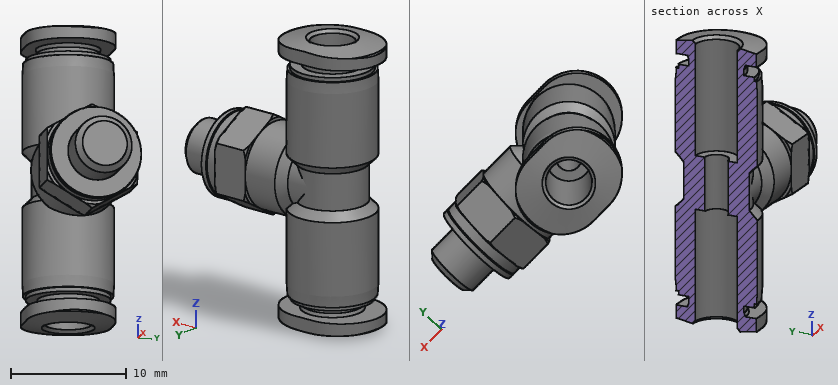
import cadquery as cq
import math

overall_height = 26.2
overall_length = 19.9
half_height = overall_height / 2

body_radius = 8.0 / 2
waist_radius = 3.2
waist_half_length = 1.7
shoulder_z = waist_half_length + body_radius - waist_radius
sleeve_end_radius = 3.93
sleeve_joint_z = 9.27
sleeve_end_z = 10.3
ring_radius = 7.4 / 2
ring_end_z = 10.66

neck_radius = 5.4 / 2
neck_flare_radius = 2.83
neck_flare_z = 11.25
button_thickness = 1.52
button_bottom_z = half_height - button_thickness
button_half_length = 4.93
button_half_width = 3.9
crown_radius = 2.3
crown_drop = 0.42
rim_bevel_width = 0.15
rim_bevel_height = 0.13

tube_bore_radius = 4.0 / 2
bore_mouth_radius = crown_radius
bore_mouth_depth = bore_mouth_radius - tube_bore_radius
through_bore_radius = 2.2 / 2

branch_cone_start_x = 2.38
branch_cone_end_x = branch_cone_start_x + body_radius - waist_radius
hex_start_x = 6.52
hex_end_x = 9.95
flange_end_x = 11.48
gasket_groove_x = 10.9
gasket_groove_width = 0.08
gasket_groove_depth = 0.08
spigot_radius = 5.0 / 2
spigot_chamfer = 0.52
spigot_end_x = overall_length - button_half_length

hex_across_flats = 2 * body_radius
hex_corner_radius = hex_across_flats / 2 / math.cos(math.pi / 6)
hex_chamfer_radius = hex_corner_radius - 0.31
hex_chamfer_length = 0.18


def revolve_z(profile):
    """Revolve a closed (radius, z) profile about the Z axis."""
    return cq.Workplane("XZ").polyline(profile).close().revolve(360, (0, 0), (0, 1))


def revolve_x(profile):
    """Revolve a closed (x, radius) profile about the X axis."""
    return cq.Workplane("XZ").polyline(profile).close().revolve(360, (0, 0), (1, 0))


def make_half_run():
    """Upper half of the run, from the centre of the waist to the button neck."""
    return revolve_z([
        (0, 0),
        (waist_radius, 0),
        (waist_radius, waist_half_length),
        (body_radius, shoulder_z),
        (body_radius, sleeve_joint_z),
        (sleeve_end_radius, sleeve_end_z),
        (ring_radius, sleeve_end_z),
        (ring_radius, ring_end_z),
        (neck_radius, ring_end_z),
        (neck_radius, neck_flare_z),
        (neck_flare_radius, button_bottom_z),
        (0, button_bottom_z),
    ])


def make_button():
    """Oval release button with a shallow conical crown."""
    oval = (
        cq.Workplane("XY", origin=(0, 0, button_bottom_z))
        .slot2D(2 * button_half_length, 2 * button_half_width)
        .extrude(button_thickness)
    )
    crown = revolve_z([
        (0, button_bottom_z),
        (button_half_length, button_bottom_z),
        (button_half_length, half_height - crown_drop - rim_bevel_height),
        (button_half_length - rim_bevel_width, half_height - crown_drop),
        (crown_radius, half_height),
        (0, half_height),
    ])
    return oval.intersect(crown)


def make_tube_bore():
    """Tube socket with a chamfered mouth."""
    return revolve_z([
        (0, shoulder_z),
        (tube_bore_radius, shoulder_z),
        (tube_bore_radius, half_height - bore_mouth_depth),
        (bore_mouth_radius, half_height),
        (0, half_height),
    ])


def make_branch():
    """Turned part of the branch with its gasket groove and spigot."""
    groove_radius = body_radius - gasket_groove_depth
    groove_end_x = gasket_groove_x + gasket_groove_width
    return revolve_x([
        (0, 0),
        (0, waist_radius),
        (branch_cone_start_x, waist_radius),
        (branch_cone_end_x, body_radius),
        (gasket_groove_x, body_radius),
        (gasket_groove_x, groove_radius),
        (groove_end_x, groove_radius),
        (groove_end_x, body_radius),
        (flange_end_x, body_radius),
        (flange_end_x, spigot_radius),
        (spigot_end_x - spigot_chamfer, spigot_radius),
        (spigot_end_x, spigot_radius - spigot_chamfer),
        (spigot_end_x, 0),
    ])


def make_hexagon():
    """Wrench hexagon with corners on +Z and -Z and both ends chamfered."""
    prism = (
        cq.Workplane("YZ", origin=(hex_start_x, 0, 0))
        .transformed(rotate=(0, 0, 90))
        .polygon(6, 2 * hex_corner_radius)
        .extrude(hex_end_x - hex_start_x)
    )
    chamfer_envelope = revolve_x([
        (hex_start_x, 0),
        (hex_start_x, hex_chamfer_radius),
        (hex_start_x + hex_chamfer_length, hex_corner_radius),
        (hex_end_x - hex_chamfer_length, hex_corner_radius),
        (hex_end_x, hex_chamfer_radius),
        (hex_end_x, 0),
    ])
    return prism.intersect(chamfer_envelope)


upper_run = make_half_run().union(make_button())
run = upper_run.union(upper_run.mirror("XY"))
tee = run.union(make_branch()).union(make_hexagon())

tube_bore = make_tube_bore()
through_bore = cq.Workplane("XY").circle(through_bore_radius).extrude(half_height, both=True)

result = tee.cut(tube_bore).cut(tube_bore.mirror("XY")).cut(through_bore)